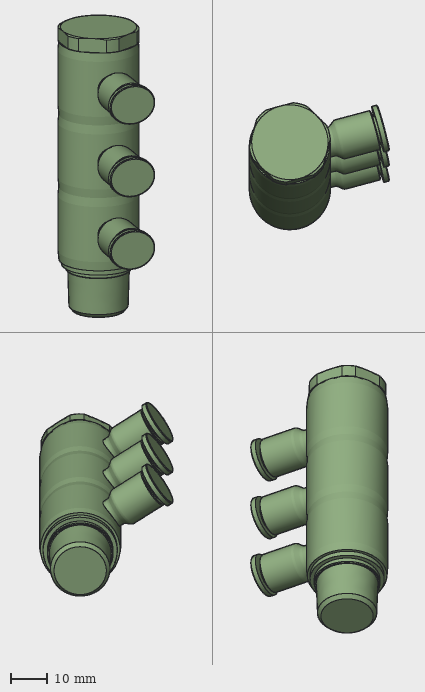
import cadquery as cq
import math


total_height = 81.8
cap_height = 4.0
module_count = 3
module_height = 21.0
module_taper_height = 2.5
flange_height = 1.5
collar_height = 1.5

body_radius = 11.2
module_end_radius = 11.0

flange_radius = 10.2
collar_radius = 9.1
collar_edge_chamfer = 0.25
thread_top_radius = 8.5
thread_end_radius = 8.2
thread_tip_radius = 7.2
thread_tip_height = 1.15

cap_across_flats = 21.0
cap_chamfer_height = 0.25

neck_radius = 4.1
neck_end = 12.2
neck_fillet = 1.2
barrel_radius = 5.6
barrel_start = 14.1
barrel_fillet = 1.15
barrel_end = 24.4
barrel_end_chamfer = 0.25
sleeve_radius = 3.85
button_start = 25.1
button_end = 26.7
button_half_width = 6.55
button_half_height = 5.6
button_edge_chamfer = 0.25

cap_bottom = total_height - cap_height
modules_bottom = cap_bottom - module_count * module_height
flange_bottom = modules_bottom - flange_height
thread_top = flange_bottom - collar_height


def module(bottom):
    """Round module, slightly tapered towards both ends."""
    top = bottom + module_height
    return (
        cq.Workplane("XZ")
        .moveTo(0, bottom)
        .lineTo(module_end_radius, bottom)
        .lineTo(body_radius, bottom + module_taper_height)
        .lineTo(body_radius, top - module_taper_height)
        .lineTo(module_end_radius, top)
        .lineTo(0, top)
        .close()
        .revolve(360, (0, 0, 0), (0, 1, 0))
    )


def thread_stub():
    """Flange, collar and tapered thread below the lowest module."""
    return (
        cq.Workplane("XZ")
        .moveTo(0, 0)
        .lineTo(thread_tip_radius, 0)
        .lineTo(thread_end_radius, thread_tip_height)
        .lineTo(thread_top_radius, thread_top)
        .lineTo(collar_radius - collar_edge_chamfer, thread_top)
        .lineTo(collar_radius, thread_top + collar_edge_chamfer)
        .lineTo(collar_radius, flange_bottom)
        .lineTo(flange_radius, flange_bottom)
        .lineTo(flange_radius, modules_bottom)
        .lineTo(0, modules_bottom)
        .close()
        .revolve(360, (0, 0, 0), (0, 1, 0))
    )


def hex_cap():
    """Hexagon with flats facing +Y and -Y, rounded corners and a turned top edge."""
    across_corners = cap_across_flats / math.cos(math.radians(30))
    hexagon = (
        cq.Workplane("XY")
        .workplane(offset=cap_bottom)
        .polygon(6, across_corners)
        .extrude(cap_height)
    )
    chamfer_width = body_radius - cap_across_flats / 2
    turned_blank = (
        cq.Workplane("XY")
        .workplane(offset=cap_bottom)
        .circle(body_radius)
        .extrude(cap_height)
        .faces(">Z")
        .chamfer(cap_chamfer_height, chamfer_width)
    )
    return hexagon.intersect(turned_blank)


def rim_at(x):
    """Selector for the circular edge centred on the fitting axis at x."""
    tolerance = 0.1
    return cq.selectors.BoxSelector(
        (x - tolerance, -tolerance, -tolerance),
        (x + tolerance, tolerance, tolerance),
    )


def fitting(level):
    """Push-in fitting along +X: neck, barrel, sleeve and oval release button."""
    neck_and_barrel = (
        cq.Workplane("XY")
        .moveTo(0, 0)
        .lineTo(0, neck_radius)
        .lineTo(neck_end, neck_radius)
        .lineTo(barrel_start, barrel_radius)
        .lineTo(barrel_end - barrel_end_chamfer, barrel_radius)
        .lineTo(barrel_end, barrel_radius - barrel_end_chamfer)
        .lineTo(barrel_end, 0)
        .close()
        .revolve(360, (0, 0, 0), (1, 0, 0))
    )
    neck_and_barrel = neck_and_barrel.edges(rim_at(neck_end)).fillet(neck_fillet)
    neck_and_barrel = neck_and_barrel.edges(rim_at(barrel_start)).fillet(barrel_fillet)
    sleeve = cq.Workplane("YZ").circle(sleeve_radius).extrude(button_start)
    button = (
        cq.Workplane("YZ")
        .workplane(offset=button_start)
        .ellipse(button_half_width, button_half_height)
        .extrude(button_end - button_start)
        .faces(">X")
        .chamfer(button_edge_chamfer)
    )
    return neck_and_barrel.union(sleeve).union(button).translate((0, 0, level))


result = thread_stub().union(hex_cap())
for index in range(module_count):
    bottom = modules_bottom + index * module_height
    result = result.union(module(bottom)).union(fitting(bottom + module_height / 2))